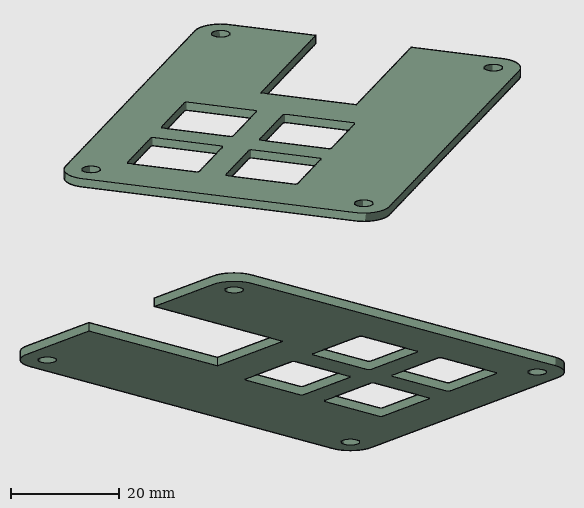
import cadquery as cq

width = 63.0
length = 83.1
thickness = 1.7
corner_radius = 5.0

hole_diameter = 3.4

notch_width = 18.5
notch_depth = 31.0
notch_left_margin = 21.8

window_size = 14.0
window_pitch = 19.1
window_margin = 10.1
window_corner_radius = 0.5
window_count = 2


def make_plate():
    """Flat plate with rounded corners, centred in X and Y, resting on Z = 0."""
    plate = cq.Workplane("XY").box(width, length, thickness, centered=(True, True, False))
    return plate.edges("|Z").fillet(corner_radius)


def make_holes():
    """One through hole at the centre of each corner arc."""
    return (
        cq.Workplane("XY")
        .rect(width - 2 * corner_radius, length - 2 * corner_radius, forConstruction=True)
        .vertices()
        .circle(hole_diameter / 2)
        .extrude(thickness)
    )


def make_notch():
    """Rectangular cutout running in from the back edge."""
    left = -width / 2 + notch_left_margin
    front = length / 2 - notch_depth
    return (
        cq.Workplane("XY")
        .moveTo(left + notch_width / 2, front + notch_depth / 2)
        .rect(notch_width, notch_depth)
        .extrude(thickness)
    )


def make_windows():
    """Square through windows with slightly rounded corners."""
    grid_span = window_size + (window_count - 1) * window_pitch
    center_x = -width / 2 + window_margin + grid_span / 2
    center_y = -length / 2 + window_margin + grid_span / 2
    return (
        cq.Workplane("XY")
        .center(center_x, center_y)
        .rarray(window_pitch, window_pitch, window_count, window_count)
        .rect(window_size, window_size)
        .extrude(thickness)
        .edges("|Z")
        .fillet(window_corner_radius)
    )


result = make_plate().cut(make_holes()).cut(make_notch()).cut(make_windows())